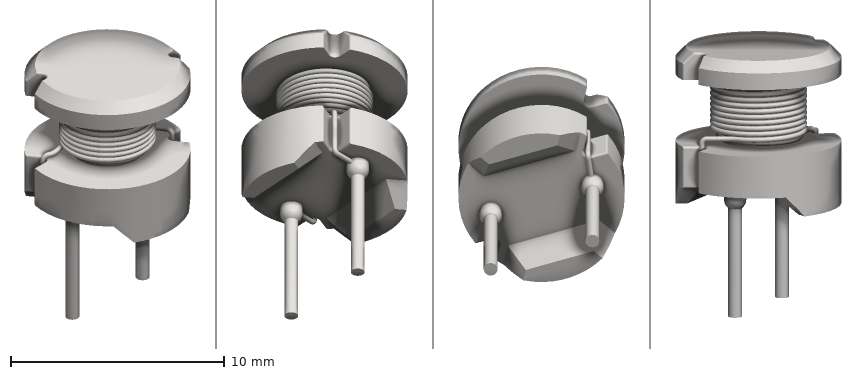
import cadquery as cq
import math

TOLERANCE = 1e-4

FLANGE_DIAMETER = 7.8
FLANGE_RADIUS = FLANGE_DIAMETER / 2
CORE_DIAMETER = 3.5
CAP_CHAMFER = 0.5
FOOT_HEIGHT = 1.0
BASE_THICKNESS = 2.0
CORE_LENGTH = 3.2
CAP_THICKNESS = 1.3
BASE_BOTTOM = FOOT_HEIGHT
BASE_TOP = BASE_BOTTOM + BASE_THICKNESS
CAP_BOTTOM = BASE_TOP + CORE_LENGTH

NOTCH_ANGLES = (60.0, 240.0)
NOTCH_HALF_ANGLE = math.radians(30)
NOTCH_TIP_RADIUS = 0.3
NOTCH_TIP_CENTRE = 3.35
NOTCH_EDGE_FILLET = 0.1

FOOT_HALF_ANGLE = math.radians(30)
FOOT_INNER_X = 2.9
FOOT_FLARE = FOOT_HEIGHT

PIN_DIAMETER = 0.65
PIN_LENGTH_BELOW_FEET = 5.0
PIN_Y = 2.5
BEAD_DIAMETER = 1.05
BEAD_CENTRE_Z = 0.62

WIRE_DIAMETER = 0.25
WIRE_RADIUS = WIRE_DIAMETER / 2
WIRE_GAP = 0.005
LAYER_SPACING = 0.275
INNER_RADIUS = CORE_DIAMETER / 2 + WIRE_RADIUS + WIRE_GAP
OUTER_RADIUS = INNER_RADIUS + LAYER_SPACING
INNER_START_HEIGHT = 0.185
INNER_START_Z = BASE_TOP + INNER_START_HEIGHT
INNER_TURNS = 10.5
OUTER_TURNS = 9.5
CROSSOVER_DROP = 0.205
CROSSOVER_Z = CAP_BOTTOM - CROSSOVER_DROP
OUTER_END_HEIGHT = 0.42
OUTER_END_Z = BASE_TOP + OUTER_END_HEIGHT
INNER_START_ANGLE = 180.0
OUTER_END_ANGLE = 90.0
CROSSOVER_MIDDLE_ANGLE = -45.0

LEAD_RADIUS = 3.2
LEAD_X = LEAD_RADIUS * math.cos(math.radians(NOTCH_ANGLES[0]))
LEAD_Y = LEAD_RADIUS * math.sin(math.radians(NOTCH_ANGLES[0]))
LEAD_BOTTOM_Z = BASE_BOTTOM - WIRE_RADIUS - WIRE_GAP
LOWER_BEND_RADIUS = 0.2
INNER_LEAD_BEND = 0.28
OUTER_LEAD_BEND = 0.25
INNER_LEAD_MIDDLE = (-1.49, -1.67)
INNER_LEAD_HEADING = (-LEAD_X, -LEAD_Y)
OUTER_LEAD_HEADING = (0.9, 0.4)


def notch_cutter(angle, bottom, height):
    """Rounded V prism opening outwards along the given direction."""
    reach = FLANGE_RADIUS
    tangent_x = NOTCH_TIP_CENTRE - NOTCH_TIP_RADIUS * math.sin(NOTCH_HALF_ANGLE)
    tangent_y = NOTCH_TIP_RADIUS * math.cos(NOTCH_HALF_ANGLE)
    mouth_x = tangent_x + reach * math.cos(NOTCH_HALF_ANGLE)
    mouth_y = tangent_y + reach * math.sin(NOTCH_HALF_ANGLE)
    return (
        cq.Workplane("XY", origin=(0, 0, bottom))
        .moveTo(mouth_x, -mouth_y)
        .lineTo(tangent_x, -tangent_y)
        .threePointArc((NOTCH_TIP_CENTRE - NOTCH_TIP_RADIUS, 0), (tangent_x, tangent_y))
        .lineTo(mouth_x, mouth_y)
        .close()
        .extrude(height)
        .rotate((0, 0, 0), (0, 0, 1), angle)
    )


def is_notch_rim(edge, cutter, sharp_z):
    """True for an edge on a notch wall that is convex and not at the level sharp_z."""
    middle = edge.positionAt(0.5)
    on_wall = cq.Vertex.makeVertex(*middle.toTuple()).distance(cutter) < TOLERANCE
    is_vertical = abs(edge.tangentAt(0.5).z) > 1 - TOLERANCE
    is_tip_seam = is_vertical and math.hypot(middle.x, middle.y) < NOTCH_TIP_CENTRE
    is_sharp = sharp_z is not None and abs(middle.z - sharp_z) < TOLERANCE
    return on_wall and not is_tip_seam and not is_sharp


def notched(flange, bottom, thickness, sharp_z=None):
    """Cut both notches and round their rims, leaving any rim at the level sharp_z sharp."""
    for angle in NOTCH_ANGLES:
        cutter = notch_cutter(angle, bottom, thickness)
        flange = flange.cut(cutter)
        rim = [edge for edge in flange.edges().vals() if is_notch_rim(edge, cutter.val(), sharp_z)]
        flange = flange.newObject(rim).fillet(NOTCH_EDGE_FILLET)
    return flange


def cap():
    disk = cq.Workplane("XY", origin=(0, 0, CAP_BOTTOM)).circle(FLANGE_RADIUS).extrude(CAP_THICKNESS)
    disk = disk.faces(">Z").chamfer(CAP_CHAMFER)
    return notched(disk, CAP_BOTTOM, CAP_THICKNESS, CAP_BOTTOM)


def base():
    disk = cq.Workplane("XY", origin=(0, 0, BASE_BOTTOM)).circle(FLANGE_RADIUS).extrude(BASE_THICKNESS)
    return notched(disk, BASE_BOTTOM, BASE_THICKNESS)


def core():
    return cq.Workplane("XY", origin=(0, 0, BASE_TOP)).circle(CORE_DIAMETER / 2).extrude(CORE_LENGTH)


def foot_outline(flare):
    """Corners of a foot sector with its inner and end sides moved outwards by flare."""
    inner_x = FOOT_INNER_X - flare
    outer_x = 2 * FLANGE_RADIUS
    side_offset = flare / math.cos(FOOT_HALF_ANGLE)
    inner_y = inner_x * math.tan(FOOT_HALF_ANGLE) + side_offset
    outer_y = outer_x * math.tan(FOOT_HALF_ANGLE) + side_offset
    return [(inner_x, -inner_y), (outer_x, -outer_y), (outer_x, outer_y), (inner_x, inner_y)]


def feet():
    flared = (
        cq.Workplane("XY")
        .polyline(foot_outline(0))
        .close()
        .workplane(offset=FOOT_HEIGHT)
        .polyline(foot_outline(FOOT_FLARE))
        .close()
        .loft(ruled=True)
    )
    foot = cq.Workplane("XY").circle(FLANGE_RADIUS).extrude(FOOT_HEIGHT).intersect(flared)
    return foot.union(foot.mirror("YZ"))


def pin(y):
    bead_radius = BEAD_DIAMETER / 2
    shank = (
        cq.Workplane("XY", origin=(0, y, -PIN_LENGTH_BELOW_FEET))
        .circle(PIN_DIAMETER / 2)
        .extrude(PIN_LENGTH_BELOW_FEET + BASE_BOTTOM)
    )
    collar = (
        cq.Workplane("XY", origin=(0, y, BEAD_CENTRE_Z))
        .circle(bead_radius)
        .extrude(BASE_BOTTOM - BEAD_CENTRE_Z)
    )
    dome = cq.Workplane("XY", origin=(0, y, BEAD_CENTRE_Z)).sphere(bead_radius, angle1=-90, angle2=0)
    return shank.union(collar).union(dome)


def helix(radius, turns, bottom, start_angle, left_handed):
    """Helical edge climbing from the given level to the crossover level."""
    height = CROSSOVER_Z - bottom
    coil = cq.Wire.makeHelix(height / turns, height, radius, lefthand=left_handed)
    coil = coil.rotate(cq.Vector(0, 0, 0), cq.Vector(0, 0, 1), start_angle)
    return coil.translate(cq.Vector(0, 0, bottom)).Edges()[0]


def vertical_lead(side, top_z):
    """Straight wire through a notch, bent at the bottom to run to the pin; side is +1 or -1."""
    x = side * LEAD_X
    y = side * LEAD_Y
    pin_y = side * PIN_Y
    run = math.hypot(x, pin_y - y)
    to_pin = cq.Vector(-x / run, (pin_y - y) / run, 0)
    corner = cq.Vector(x, y, LEAD_BOTTOM_Z)
    bend_start = corner + cq.Vector(0, 0, LOWER_BEND_RADIUS)
    bend_end = corner + to_pin * LOWER_BEND_RADIUS
    return [
        cq.Edge.makeLine(cq.Vector(x, y, top_z), bend_start),
        cq.Edge.makeTangentArc(bend_start, cq.Vector(0, 0, -1), bend_end),
        cq.Edge.makeLine(bend_end, cq.Vector(0, pin_y, LEAD_BOTTOM_Z)),
    ]


def bent_entry(coil_end, coil_direction, middle_points, heading, bend, side):
    """Wire from a coil end, level towards a notch, then bent down along the lead."""
    corner = cq.Vector(side * LEAD_X, side * LEAD_Y, coil_end.z)
    bend_start = corner - heading * bend
    bend_end = corner - cq.Vector(0, 0, bend)
    points = [coil_end, *middle_points, bend_start]
    return [
        cq.Edge.makeSpline(points, tangents=[coil_direction, heading]),
        cq.Edge.makeTangentArc(bend_start, heading, bend_end),
    ]


def sweep_wire(edge):
    """Round wire along one piece of the path."""
    profile = cq.Workplane(cq.Plane(edge.startPoint(), normal=edge.tangentAt(0))).circle(WIRE_RADIUS)
    return profile.sweep(cq.Workplane(cq.Wire.assembleEdges([edge])))


def winding():
    """Two-layer coil with its crossover and both leads."""
    inner = helix(INNER_RADIUS, INNER_TURNS, INNER_START_Z, INNER_START_ANGLE, True)
    outer = helix(OUTER_RADIUS, OUTER_TURNS, OUTER_END_Z, OUTER_END_ANGLE, False)
    middle_angle = math.radians(CROSSOVER_MIDDLE_ANGLE)
    middle_radius = (INNER_RADIUS + OUTER_RADIUS) / 2
    crossover_middle = cq.Vector(
        middle_radius * math.cos(middle_angle),
        middle_radius * math.sin(middle_angle),
        CROSSOVER_Z,
    )
    crossover = cq.Edge.makeSpline(
        [inner.endPoint(), crossover_middle, outer.endPoint()],
        tangents=[inner.tangentAt(1), outer.tangentAt(1) * -1],
    )
    inner_entry = bent_entry(
        inner.startPoint(),
        inner.tangentAt(0) * -1,
        [cq.Vector(*INNER_LEAD_MIDDLE, INNER_START_Z)],
        cq.Vector(*INNER_LEAD_HEADING).normalized(),
        INNER_LEAD_BEND,
        -1,
    )
    outer_entry = bent_entry(
        outer.startPoint(),
        outer.tangentAt(0) * -1,
        [],
        cq.Vector(*OUTER_LEAD_HEADING).normalized(),
        OUTER_LEAD_BEND,
        1,
    )
    inner_lead = vertical_lead(-1, INNER_START_Z - INNER_LEAD_BEND)
    outer_lead = vertical_lead(1, OUTER_END_Z - OUTER_LEAD_BEND)
    pieces = [*inner_entry, *inner_lead, inner, crossover, outer, *outer_entry, *outer_lead]
    first, *others = [sweep_wire(piece).val() for piece in pieces]
    return cq.Workplane(first.fuse(*others))


result = cap().union(core()).union(base()).union(feet())
for side in (-1, 1):
    result = result.union(pin(side * PIN_Y))
result = result.union(winding())